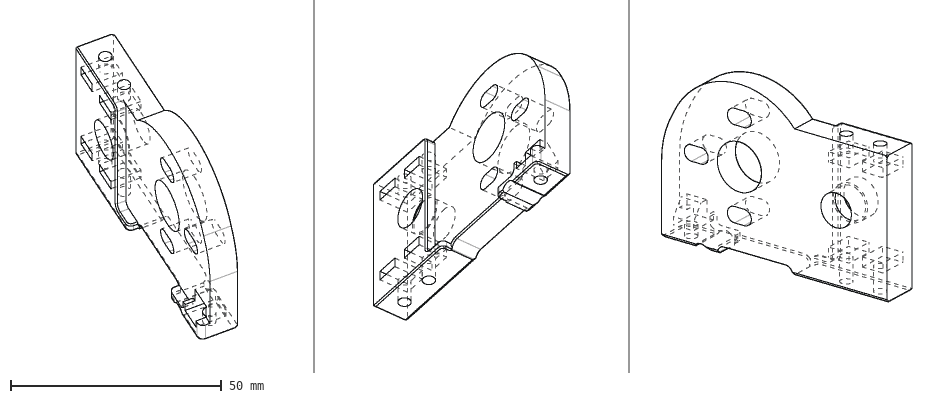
import cadquery as cq
import math


LENGTH = 66.5
DEPTH = 10.0
BLOCK_HEIGHT = 38.25
PLATE_FRONT = 2.65
OVERLAP = 0.65
EDGE_CHAMFER = 0.4
BACK_CHAMFER = 1.0
CORNER_CUT = 0.6
CORNER_RADIUS = 1.45
MARGIN = 0.05

MOTOR_X = 43.55
MOTOR_Z = 24.2
HEAD_RADIUS = 21.5
HEAD_ARC_END_X = 63.1
SIDE_ARC_END_Z = 20.3
SHAFT_HOLE_DIA = 13.0
SLOT_OFFSET = 12.7
SLOT_LENGTH = 7.05
SLOT_WIDTH = 4.25

BLOCK_WIDTH = 21.5
FOOT_HEIGHT = 2.3
LEFT_FOOT_END = 27.9
RIGHT_FOOT_START = 50.0
RIGHT_FOOT_STEP_X = 57.5
RIGHT_FOOT_STEP_HEIGHT = 5.3
ARCH_RADIUS = 2.0
NOTCH_X = 54.9
NOTCH_RADIUS = 2.4
NOTCH_HEIGHT = 1.4

BORE_X = 15.0
BORE_Z = 20.3
BORE_DIA = 9.0
COUNTERBORE_DIA = 10.1
COUNTERBORE_DEPTH = 4.25

SCREW_DIA = 3.2
SCREW_Y = DEPTH / 2
NUT_WIDTH = 6.05
NUT_THICKNESS = 2.6
NUT_X = (5.7, 15.7)
LOWER_NUT_Z = 7.85
UPPER_NUT_Z = 32.5
NUT_SLOT_BACK = SCREW_Y + NUT_WIDTH / 2

POCKET_START_X = 58.5
POCKET_WIDTH = 5.85
POCKET_FLOOR = 3.2
POCKET_BACK = NUT_SLOT_BACK
POCKET_BACK_TOP = 5.3
POCKET_TOP = 9.4
POCKET_SLOPE_START = SCREW_Y


def front_sketch(y):
    """Workplane facing the front at depth y: local x is X, local y is Z."""
    return cq.Workplane("XZ", origin=(0, y, 0))


def box(x0, x1, y0, y1, z0, z1):
    return cq.Workplane("XY").box(x1 - x0, y1 - y0, z1 - z0, centered=False).translate((x0, y0, z0))


def along_y(x, z, diameter, depth):
    """Round cutter that enters from the front."""
    return front_sketch(0).center(x, z).circle(diameter / 2).extrude(-depth)


def along_z(x, z0, z1):
    """Screw-sized vertical cutter between two heights."""
    return cq.Workplane("XY", origin=(x, SCREW_Y, z0)).circle(SCREW_DIA / 2).extrude(z1 - z0)


def edges_near(solid, lower, upper):
    """Edges that lie wholly inside the box between two corners."""
    return solid.edges(cq.selectors.BoxSelector(lower, upper, boundingbox=True))


def plate():
    head_start_x = MOTOR_X - math.sqrt(HEAD_RADIUS**2 - (BLOCK_HEIGHT - MOTOR_Z) ** 2)
    head_end_z = MOTOR_Z + math.sqrt(HEAD_RADIUS**2 - (HEAD_ARC_END_X - MOTOR_X) ** 2)
    run = LENGTH - HEAD_ARC_END_X
    drop = head_end_z - SIDE_ARC_END_Z
    side_arc_radius = (run**2 + drop**2) / (2 * run)
    body = (
        front_sketch(PLATE_FRONT)
        .moveTo(0, BLOCK_HEIGHT)
        .lineTo(head_start_x, BLOCK_HEIGHT)
        .threePointArc((MOTOR_X, MOTOR_Z + HEAD_RADIUS), (HEAD_ARC_END_X, head_end_z))
        .radiusArc((LENGTH, SIDE_ARC_END_Z), side_arc_radius)
        .lineTo(LENGTH, 0)
        .lineTo(RIGHT_FOOT_START, 0)
        .lineTo(RIGHT_FOOT_START, FOOT_HEIGHT)
        .lineTo(LEFT_FOOT_END, FOOT_HEIGHT)
        .lineTo(LEFT_FOOT_END, 0)
        .lineTo(0, 0)
        .close()
        .extrude(PLATE_FRONT - DEPTH)
    )
    arch_left = LEFT_FOOT_END - MARGIN
    arch_right = RIGHT_FOOT_START + MARGIN
    arch_top = FOOT_HEIGHT + MARGIN
    arch_corners = edges_near(
        body, (arch_left, 0, FOOT_HEIGHT - MARGIN), (arch_right, DEPTH + MARGIN, arch_top)
    )
    body = arch_corners.edges("|Y").fillet(ARCH_RADIUS)
    arch_front = edges_near(
        body, (arch_left, PLATE_FRONT - MARGIN, -MARGIN), (arch_right, PLATE_FRONT + MARGIN, arch_top)
    )
    body = arch_front.chamfer(EDGE_CHAMFER)
    return body.faces("<X or >X").edges("|Y and <Z").chamfer(EDGE_CHAMFER)


def raised_block():
    body = (
        front_sketch(0)
        .lineTo(LEFT_FOOT_END, 0)
        .lineTo(LEFT_FOOT_END, FOOT_HEIGHT)
        .lineTo(BLOCK_WIDTH + CORNER_RADIUS, FOOT_HEIGHT)
        .radiusArc((BLOCK_WIDTH, FOOT_HEIGHT + CORNER_RADIUS), CORNER_RADIUS)
        .lineTo(BLOCK_WIDTH, BLOCK_HEIGHT - CORNER_RADIUS)
        .radiusArc((BLOCK_WIDTH - CORNER_RADIUS, BLOCK_HEIGHT), -CORNER_RADIUS)
        .lineTo(0, BLOCK_HEIGHT)
        .close()
        .extrude(-PLATE_FRONT - OVERLAP)
    )
    body = body.faces(">X").edges("<Y").fillet(CORNER_RADIUS)
    body = body.faces("<X").edges("<Z").chamfer(EDGE_CHAMFER)
    return body.faces("<Y").edges("<Z or >Z").chamfer(EDGE_CHAMFER)


def right_foot():
    body = (
        front_sketch(0)
        .moveTo(RIGHT_FOOT_START, 0)
        .lineTo(LENGTH, 0)
        .lineTo(LENGTH, RIGHT_FOOT_STEP_HEIGHT)
        .lineTo(RIGHT_FOOT_STEP_X, RIGHT_FOOT_STEP_HEIGHT)
        .lineTo(RIGHT_FOOT_STEP_X, FOOT_HEIGHT + CORNER_RADIUS)
        .radiusArc((RIGHT_FOOT_STEP_X - CORNER_RADIUS, FOOT_HEIGHT), CORNER_RADIUS)
        .lineTo(RIGHT_FOOT_START, FOOT_HEIGHT)
        .close()
        .extrude(-PLATE_FRONT - OVERLAP)
    )
    body = body.faces("<X or >X").edges("|Z and <Y").fillet(CORNER_RADIUS)
    return body.faces("<Y").edges("<Z").chamfer(EDGE_CHAMFER)


def motor_openings():
    cutters = along_y(MOTOR_X, MOTOR_Z, SHAFT_HOLE_DIA, DEPTH)
    for dx, dz in ((0, SLOT_OFFSET), (SLOT_OFFSET, 0), (0, -SLOT_OFFSET)):
        slot = front_sketch(0).center(MOTOR_X + dx, MOTOR_Z + dz).slot2D(SLOT_LENGTH, SLOT_WIDTH)
        cutters = cutters.union(slot.extrude(-DEPTH))
    return cutters


def bearing_bore():
    through = along_y(BORE_X, BORE_Z, BORE_DIA, DEPTH)
    return through.union(along_y(BORE_X, BORE_Z, COUNTERBORE_DIA, COUNTERBORE_DEPTH))


def block_fasteners():
    cutters = cq.Workplane("XY")
    for x in NUT_X:
        for z in (LOWER_NUT_Z, UPPER_NUT_Z):
            cutters = cutters.add(
                box(
                    x - NUT_WIDTH / 2, x + NUT_WIDTH / 2,
                    0, NUT_SLOT_BACK,
                    z - NUT_THICKNESS / 2, z + NUT_THICKNESS / 2,
                )
            )
        cutters = cutters.add(along_z(x, 0, LOWER_NUT_Z))
        cutters = cutters.add(along_z(x, UPPER_NUT_Z, BLOCK_HEIGHT))
    return cutters.combine()


def corner_nut_pocket():
    pocket = (
        cq.Workplane("YZ", origin=(POCKET_START_X, 0, 0))
        .moveTo(0, POCKET_FLOOR)
        .lineTo(POCKET_BACK, POCKET_FLOOR)
        .lineTo(POCKET_BACK, POCKET_BACK_TOP)
        .lineTo(POCKET_SLOPE_START, POCKET_TOP)
        .lineTo(0, POCKET_TOP)
        .close()
        .extrude(POCKET_WIDTH)
    )
    return pocket.union(along_z(POCKET_START_X + POCKET_WIDTH / 2, 0, POCKET_FLOOR))


def foot_notch():
    return along_y(NOTCH_X, NOTCH_HEIGHT - NOTCH_RADIUS, 2 * NOTCH_RADIUS, DEPTH)


def back_bottom_bevel():
    return (
        cq.Workplane("YZ")
        .polyline([(DEPTH - BACK_CHAMFER, 0), (DEPTH, 0), (DEPTH, BACK_CHAMFER)])
        .close()
        .extrude(LENGTH)
    )


def back_corner_cut():
    """Slab lying square to the corner diagonal; its inner face slices the sharp point off."""
    slice_plane = cq.Plane(origin=(CORNER_CUT, DEPTH, BLOCK_HEIGHT), normal=(-1, 1, 1))
    return cq.Workplane(slice_plane).rect(4 * CORNER_CUT, 4 * CORNER_CUT).extrude(CORNER_CUT)


result = plate().union(raised_block()).union(right_foot())
for cutter in (
    motor_openings(),
    bearing_bore(),
    block_fasteners(),
    corner_nut_pocket(),
    foot_notch(),
    back_bottom_bevel(),
    back_corner_cut(),
):
    result = result.cut(cutter)